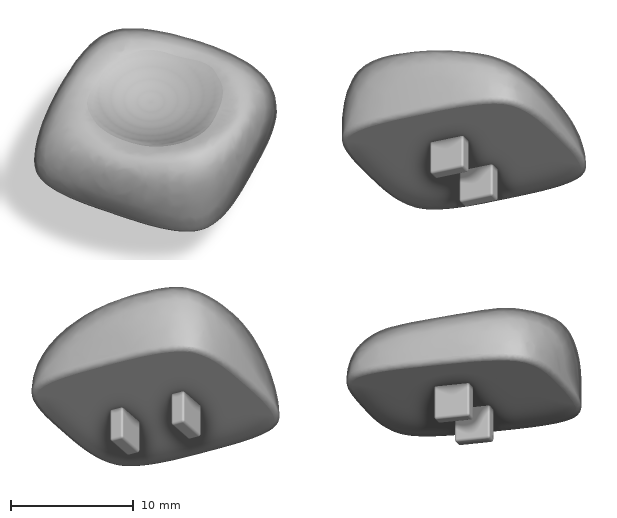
import cadquery as cq
import math

BASE_WIDTH = 17.52
BASE_CORNER_RADIUS = 10.42
BASE_THICKNESS = 0.52
BASE_FILLET = 0.41

DIRECTION_COUNT = 8
HIGH_CORNER_ANGLE = -45
DIRECTIONS = [math.radians(HIGH_CORNER_ANGLE + 360 / DIRECTION_COUNT * i) for i in range(DIRECTION_COUNT)]


def mirrored(values):
    """Five values, from the high corner to the low corner, carried round to all eight directions."""
    return values + values[-2:0:-1]


BASE_RADII = [BASE_CORNER_RADIUS, BASE_WIDTH / 2] * (DIRECTION_COUNT // 2)
CREST_RADII = mirrored([7.38, 6.87, 6.5, 5.78, 6.23])
CREST_HEIGHTS = mirrored([7.08, 6.25, 5.7, 4.85, 4.85])
WALL_EXPONENTS = mirrored([2.4, 3.4, 1.9, 2.4, 1.9])
WALL_BULGES = [0, 0.1, 0, 0, 0, 0, 0, 0.28]
WALL_STEPS = 5

BOWL_SPHERE_RADIUS = 10.0
BOWL_BOTTOM = cq.Vector(-0.71, 0.71, 3.65)
BOWL_EDGE_RADII = mirrored([6.0, 5.37, 5.55, 5.2, 5.5])

STOCK_RING_FRACTION = 0.8
STOCK_RING_RISE = 0.35
STOCK_PEAK_RISE = 1.07

LEG_SPACING = 5.7
LEG_THICKNESS = 1.2
LEG_WIDTH = 3.0
LEG_LENGTH = 2.8
LEG_FILLET = 0.2


def polar_points(radii, heights):
    return [
        cq.Vector(radius * math.cos(angle), radius * math.sin(angle), height)
        for angle, radius, height in zip(DIRECTIONS, radii, heights)
    ]


def ring(points):
    """Closed smooth curve through one point per direction."""
    count = len(points)
    tangents = [(points[(i + 1) % count] - points[i - 1]) * 0.5 for i in range(count)]
    parameters = list(range(count + 1))
    edge = cq.Edge.makeSpline(points, tangents, periodic=True, parameters=parameters, scale=False)
    return cq.Wire.assembleEdges([edge])


def wall_point(direction, turn):
    """Radius and height of the wall in one direction; turn runs from 0 at the base to pi/2 at the crest."""
    exponent = WALL_EXPONENTS[direction]
    across = max(math.cos(turn), 0)
    up = math.sin(turn)
    scale = (across**exponent + up**exponent) ** (-1 / exponent)
    across *= scale
    up *= scale
    radius = CREST_RADII[direction] + (BASE_RADII[direction] - CREST_RADII[direction]) * across
    radius += WALL_BULGES[direction] * math.sin(math.pi * up)
    return radius, BASE_THICKNESS + (CREST_HEIGHTS[direction] - BASE_THICKNESS) * up


def wall_ring(turn):
    radii, heights = zip(*[wall_point(i, turn) for i in range(DIRECTION_COUNT)])
    return ring(polar_points(radii, heights))


def on_bowl(place, rise=0):
    """Point straight above or below a place in plan, at a given rise above the bowl sphere."""
    distance = math.hypot(place.x - BOWL_BOTTOM.x, place.y - BOWL_BOTTOM.y)
    depth = math.sqrt(BOWL_SPHERE_RADIUS**2 - distance**2)
    return cq.Vector(place.x, place.y, BOWL_BOTTOM.z + BOWL_SPHERE_RADIUS - depth + rise)


def cap():
    wall = [wall_ring(math.pi / 2 * step / WALL_STEPS) for step in range(WALL_STEPS + 1)]

    edge_points = [on_bowl(place) for place in polar_points(BOWL_EDGE_RADII, [0] * DIRECTION_COUNT)]
    stock_places = [BOWL_BOTTOM + (point - BOWL_BOTTOM) * STOCK_RING_FRACTION for point in edge_points]
    stock_ring = ring([on_bowl(place, STOCK_RING_RISE) for place in stock_places])
    stock_peak = cq.Vertex.makeVertex(BOWL_BOTTOM.x, BOWL_BOTTOM.y, BOWL_BOTTOM.z + STOCK_PEAK_RISE)

    sections = [*wall, ring(edge_points), stock_ring, stock_peak]
    body = cq.occ_impl.shapes.loft(sections, cap=True, compat=False)

    sphere_centre = BOWL_BOTTOM + cq.Vector(0, 0, BOWL_SPHERE_RADIUS)
    bowl = cq.Workplane().sphere(BOWL_SPHERE_RADIUS).translate(sphere_centre)
    return cq.Workplane(body).cut(bowl)


def base_plate():
    outline = ring(polar_points(BASE_RADII, [0] * DIRECTION_COUNT))
    plate = cq.Solid.extrudeLinear(outline, [], cq.Vector(0, 0, BASE_THICKNESS))
    return cq.Workplane(plate).faces("<Z").edges().fillet(BASE_FILLET)


def legs():
    """Legs that reach up through the base plate."""
    return (
        cq.Workplane()
        .workplane(offset=-LEG_LENGTH)
        .rarray(LEG_SPACING, 0.18, 2, 1)
        .box(LEG_THICKNESS, LEG_WIDTH, LEG_LENGTH + BASE_THICKNESS, centered=(True, True, False))
        .edges("|Z or <Z")
        .fillet(LEG_FILLET)
    )


result = cap().union(base_plate()).union(legs())